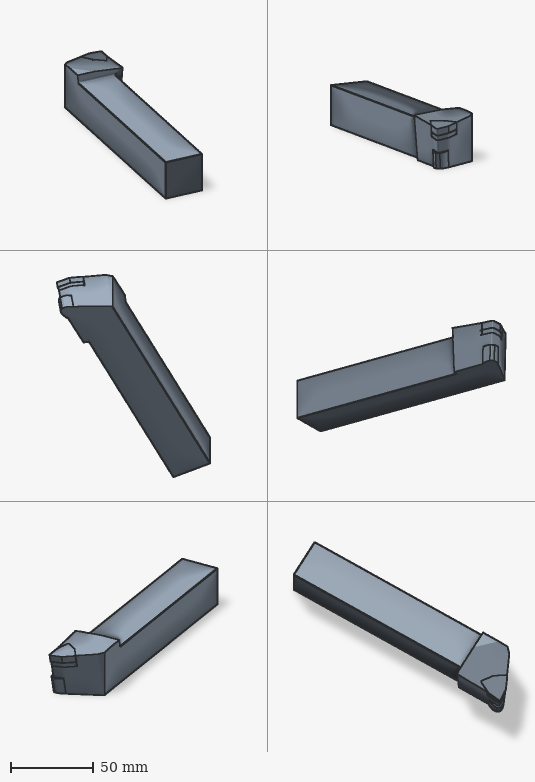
import cadquery as cq
import math

length = 150.0
shank_side = 25.0
shank_start_x = 22.5
shank_chamfer = 0.3

head_height = 30.0
head_back_y = 30.8
head_end_x = 30.8
head_foot_x = 31.8
root_radius = 0.9
nose_chamfer_x = 13.4
flank_radius = 6.8
tilt = 7.5
tilt_line_x = 19.5
ledge_depth = 15.5
wing_tip_x = 30.6
margin = 6.0
below_base = 45.0

insert_radius = 6.3
insert_thickness = 4.5
nose_radius = 0.8
tip_y = 31.5
pointing = 135.0
shim_inset = 0.22
shim_thickness = 3.0
shim_nose_radius = 0.9

seat_depth = insert_thickness + shim_thickness
half_corner = math.radians(40)
half_bend = math.radians(10)

nose_center = (insert_radius - nose_radius) / math.sin(half_corner)
reach = nose_center * math.sin(math.radians(pointing)) + nose_radius
center_x = reach
center_y = tip_y - reach

bump_root_along = 3.6
bump_root_across = 4.8
bump_middle_along = 6.3
bump_middle_across = 4.0
bump_crest_along = 8.5
bump_crest_across = 2.7
bump_shoulder_along = 9.8
bump_shoulder_across = 1.4
bump_tip_along = 10.0

slope = math.tan(math.radians(tilt))
down = cq.Vector(
    math.sin(math.radians(tilt)) / math.sqrt(2),
    -math.sin(math.radians(tilt)) / math.sqrt(2),
    -math.cos(math.radians(tilt)),
)


def on_top(x, y, depth=0.0):
    """Point of the tilted top plane above (x, y), moved down along its normal."""
    drop = slope * (y - x + tilt_line_x) / math.sqrt(2)
    return cq.Vector(x, y, head_height - drop) + down * depth


def tilted_prism(points, top_depth, bottom_depth):
    """Prism square to the tilted top between two depths."""
    wire = cq.Wire.makePolygon([on_top(x, y, top_depth) for x, y in points], close=True)
    return cq.Workplane(cq.Solid.extrudeLinear(wire, [], down * (bottom_depth - top_depth)))


def polar(radius, angle):
    a = math.radians(angle)
    return (center_x + radius * math.cos(a), center_y + radius * math.sin(a))


def fillet_near(body, places, radius):
    """Round the edges whose middles lie closest to the given places."""
    edges = body.edges().vals()
    chosen = [min(edges, key=lambda e: (e.Center() - p).Length) for p in places]
    return body.newObject(chosen).fillet(radius)


def trigon(inradius, corner_radius, top_depth, bottom_depth):
    """Trigon plate: three rounded 80 degree corners and three 160 degree bends."""
    corner = inradius / math.sin(half_corner)
    bend = inradius / math.cos(half_bend)
    points = []
    tips = []
    for i in range(3):
        angle = pointing + 120 * i
        tip = polar(corner, angle)
        points += [tip, polar(bend, angle + 60)]
        tips.append(on_top(*tip, (top_depth + bottom_depth) / 2))
    plate = tilted_prism(points, top_depth, bottom_depth)
    return fillet_near(plate, tips, corner_radius)


def make_shank():
    bar = cq.Workplane("XY").box(
        length - shank_start_x, shank_side, shank_side, centered=False
    )
    bar = bar.faces(">X").edges().chamfer(shank_chamfer)
    bar = bar.edges("|X").chamfer(shank_chamfer)
    return bar.translate((shank_start_x, 0, 0))


def head_envelope():
    """Space the head may fill: base, -Y face, sloping back and slanted wing end."""
    cross_section = (
        cq.Workplane("YZ", origin=(-margin, 0, 0))
        .moveTo(shank_chamfer, 0)
        .lineTo(head_back_y + margin, 0)
        .lineTo(head_back_y + margin, head_height)
        .lineTo(0, head_height)
        .lineTo(0, shank_chamfer)
        .close()
        .extrude(head_foot_x + 2 * margin)
    )
    back_lean = (head_foot_x - head_end_x) / (head_height - shank_side)
    root_x = head_foot_x - root_radius * back_lean
    root_sag = root_radius * (1 - math.sqrt(0.5))
    root_middle = (root_x + root_sag, shank_side + root_sag)
    side_profile = (
        cq.Workplane("XZ", origin=(0, -margin, 0))
        .moveTo(-margin, 0)
        .lineTo(root_x + root_radius, 0)
        .lineTo(root_x + root_radius, shank_side)
        .threePointArc(root_middle, (root_x, shank_side + root_radius))
        .lineTo(head_end_x, head_height)
        .lineTo(-margin, head_height)
        .close()
        .extrude(-(head_back_y + 3 * margin))
    )
    wing_end = (
        cq.Workplane("XY")
        .moveTo(head_foot_x, shank_side)
        .lineTo(wing_tip_x, head_back_y)
        .lineTo(wing_tip_x, head_back_y + margin)
        .lineTo(head_foot_x + margin, head_back_y + margin)
        .lineTo(head_foot_x + margin, shank_side)
        .close()
        .extrude(head_height)
    )
    return cross_section.intersect(side_profile).cut(wing_end)


def make_walls():
    """Head prism under the tilted top, its walls parallel to the insert's edges."""
    wall = insert_radius - shim_inset
    corner = polar(wall / math.sin(half_corner), pointing)
    bend = polar(wall / math.cos(half_bend), pointing + 60)
    lean = math.tan(math.radians(pointing - 110))
    bevel_y = (nose_chamfer_x - bend[0] - lean * bend[1]) / (1 - lean)
    bevel = (nose_chamfer_x - bevel_y, bevel_y)
    fall = math.tan(math.radians(pointing - 130))
    side_start = corner[0] + (corner[1] - head_back_y) / fall
    walls = tilted_prism(
        [
            (side_start, head_back_y),
            corner,
            bend,
            bevel,
            (nose_chamfer_x + margin, -margin),
            (head_foot_x + 2 * margin, -margin),
            (head_foot_x + 2 * margin, head_back_y),
        ],
        0,
        below_base,
    )
    middle = below_base / 2
    walls = fillet_near(walls, [on_top(*corner, middle)], shim_nose_radius)
    return fillet_near(walls, [on_top(*bend, middle), on_top(*bevel, middle)], flank_radius)


def make_bump():
    """Lower nose below the ledge: it flares out of both walls around the cutting corner."""

    def place(along, across):
        """Point on the tilted top from offsets along and across the corner direction."""
        a = math.radians(pointing)
        return on_top(
            center_x + along * math.cos(a) - across * math.sin(a),
            center_y + along * math.sin(a) + across * math.cos(a),
            ledge_depth,
        )

    edges = []
    for side in (1, -1):
        root = place(bump_root_along, side * bump_root_across)
        middle = place(bump_middle_along, side * bump_middle_across)
        crest = place(bump_crest_along, side * bump_crest_across)
        shoulder = place(bump_shoulder_along, side * bump_shoulder_across)
        edges.append(cq.Edge.makeThreePointArc(root, middle, crest))
        edges.append(cq.Edge.makeLine(crest, shoulder))
    edges.append(
        cq.Edge.makeThreePointArc(
            place(bump_shoulder_along, bump_shoulder_across),
            place(bump_tip_along, 0),
            place(bump_shoulder_along, -bump_shoulder_across),
        )
    )
    edges.append(
        cq.Edge.makeLine(
            place(bump_root_along, bump_root_across),
            place(bump_root_along, -bump_root_across),
        )
    )
    wire = cq.Wire.assembleEdges(edges)
    return cq.Workplane(cq.Solid.extrudeLinear(wire, [], down * below_base))


def make_head():
    return make_walls().union(make_bump()).intersect(head_envelope())


def make_holder():
    holder = make_head().union(make_shank())
    pocket = trigon(insert_radius, nose_radius, -margin, seat_depth)
    return holder.cut(pocket)


def make_insert():
    """Cutting insert on top of its slightly smaller shim."""
    plate = trigon(insert_radius, nose_radius, 0, insert_thickness)
    shim = trigon(insert_radius - shim_inset, shim_nose_radius, insert_thickness, seat_depth)
    bend = polar((insert_radius - shim_inset) / math.cos(half_bend), pointing + 60)
    shim_middle = insert_thickness + shim_thickness / 2
    shim = fillet_near(shim, [on_top(*bend, shim_middle)], flank_radius)
    return plate.union(shim)


holder = make_holder()
insert = make_insert()
result = cq.Compound.makeCompound([holder.val(), insert.val()])